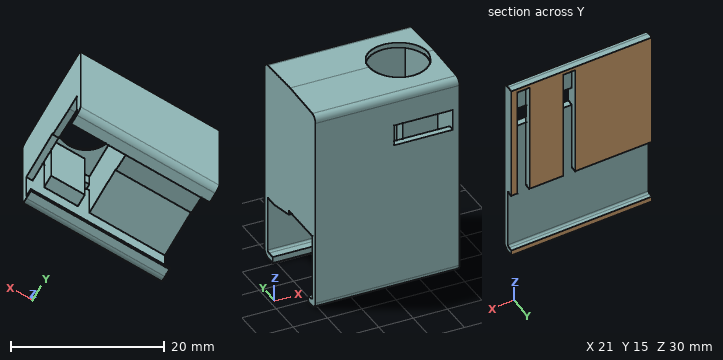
import cadquery as cq

length = 21.0
width = 15.0
height = 30.0
wall = 0.95
edge_radius = 1.0
roof_drop = 0.27

front_lip_reach = 2.13
back_lip_reach = 2.43
lip_corner_radius = 0.3
ceiling_height = 10.8
step_y = 0.3
step_bottom = 10.2
slope_end_y = 4.62
shelf_height = 9.3

chamber_length = 8.58
opening_diameter = 8.5
roof_thickness = 0.9
window_bottom = 22.15
window_height = 3.05
backing_length = 5.1
backing_thickness = 1.8

half_width = width / 2
inner_y = half_width - wall
slot_front_y = -half_width + front_lip_reach
slot_back_y = half_width - back_lip_reach
chamber_center_x = length - wall - chamber_length / 2


def box_between(size_x, y_min, y_max, z_min, z_max):
    """Box centred on the chamber in X, between the given Y and Z limits."""
    box = cq.Workplane("XY").box(size_x, y_max - y_min, z_max - z_min, centered=(True, False, False))
    return box.translate((chamber_center_x, y_min, z_min))


def make_body():
    """Block with a shallow ridged roof and rounded long edges."""
    outline = [
        (-half_width, 0),
        (half_width, 0),
        (half_width, height - roof_drop),
        (0, height),
        (-half_width, height - roof_drop),
    ]
    body = cq.Workplane("YZ").polyline(outline).close().extrude(length)
    return body.edges("|X and (>Y or <Y)").fillet(edge_radius)


def make_channel():
    """Space between the side walls, with a stepped ceiling and a slot between the lips."""
    outline = [
        (-inner_y, wall),
        (inner_y, wall),
        (inner_y, shelf_height),
        (slope_end_y, shelf_height),
        (step_y, step_bottom),
        (step_y, ceiling_height),
        (-inner_y, ceiling_height),
    ]
    channel = cq.Workplane("YZ").polyline(outline).close().extrude(length)
    channel = channel.edges("|X and <Z").fillet(lip_corner_radius)
    slot = cq.Workplane("XY").box(length, slot_back_y - slot_front_y, 2 * wall, centered=False)
    return channel.union(slot.translate((0, slot_front_y, 0)))


def make_chamber():
    """Chamber open to the channel, leaving a backing block behind the window."""
    chamber_top = height - roof_thickness
    chamber = box_between(chamber_length, -inner_y, inner_y, shelf_height, chamber_top)
    backing = box_between(
        backing_length, -inner_y, -inner_y + backing_thickness, ceiling_height, chamber_top
    )
    return chamber.cut(backing)


def make_roof_opening():
    """Round hole through the roof into the chamber."""
    opening = cq.Workplane("XY").circle(opening_diameter / 2).extrude(height - ceiling_height)
    return opening.translate((chamber_center_x, 0, ceiling_height))


def make_window():
    """Rectangular window through the front wall."""
    return box_between(
        chamber_length, -half_width, -inner_y, window_bottom, window_bottom + window_height
    )


result = make_body()
for cutter in (make_channel(), make_chamber(), make_roof_opening(), make_window()):
    result = result.cut(cutter)